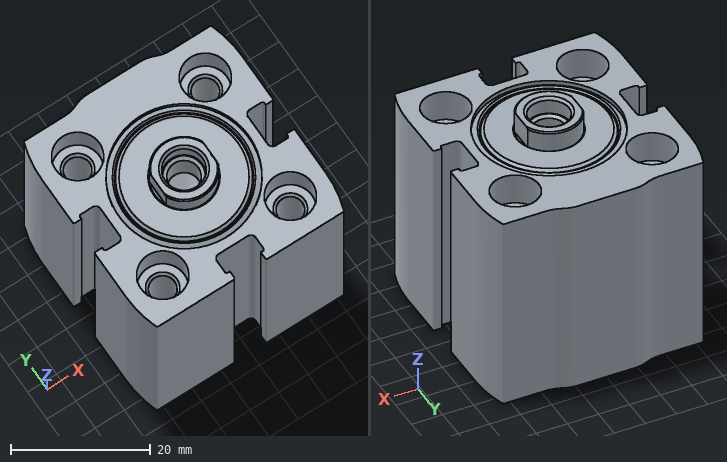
import cadquery as cq
import math

HALF_WIDTH = 17.25
BUMP_FACE_Y = 18.25
HOUSING_HEIGHT = 32.5
TOTAL_HEIGHT = 35.5

HOLE_OFFSET = 11.0
SIDE_FLAT_HALF_LENGTH = 10.83
SIDE_ARC_RADIUS = 18.8
CORNER_FILLET = 0.4
BUMP_TOP_HALF_WIDTH = 4.5
BUMP_FOOT_HALF_WIDTH = 9.15

SLOT_MOUTH_WIDTH = 5.32
SLOT_WIDTH = 6.65
SLOT_DEPTH = 4.5
SLOT_LIP = 1.4
SLOT_FLOOR_FILLET = 0.78
LIP_FILLET = 0.3

HOLE_DIAMETER = 4.12
COUNTERSINK_DIAMETER = 4.95
COUNTERBORE_DIAMETER = 7.5
COUNTERBORE_DEPTH = 5.0

RING_GROOVE_DIAMETER = 22.4
RING_GROOVE_DEPTH = 0.75
RIDGE_DIAMETER = 20.55
RIDGE_DEPTH = 0.18
INNER_GROOVE_DIAMETER = 20.0
INNER_GROOVE_DEPTH = 0.5
CAP_BASE_DIAMETER = 19.65
CAP_RIM_OUTER_DIAMETER = 18.67
CAP_RIM_INNER_DIAMETER = 18.18
CAP_RIM_DEPTH = 0.1
CAP_FACE_DEPTH = 0.18

ROD_DIAMETER = 10.0
ROD_LENGTH = 21.3
ROD_TOP_CHAMFER = 0.2
ROD_HOLE_CHAMFER = 0.18
FLAT_SPACING = 9.0
FLAT_LENGTH = 3.55
SOCKET_RIM_DIAMETER = 7.25
SOCKET_DIAMETER = 6.4
SOCKET_DEPTH = 2.77
SOCKET_FLOOR_DIAMETER = 6.1
BORE_DIAMETER = 4.95
BORE_DEPTH = 7.8
DRILL_HALF_ANGLE = math.radians(60)


def drill_cone_height(radius_change):
    """Height over which a drill-point cone changes radius."""
    return radius_change / math.tan(DRILL_HALF_ANGLE)


def revolved(profile):
    """Solid of revolution about Z from a closed list of (radius, height) points."""
    return cq.Workplane("XZ").polyline(profile).close().revolve(360, (0, 0, 0), (0, 1, 0))


def housing_block():
    """Extruded outline: bowed X sides and a raised middle on the +Y side."""
    rise = HALF_WIDTH - SIDE_FLAT_HALF_LENGTH
    side_angle = math.asin(rise / SIDE_ARC_RADIUS)

    def bow(angle):
        x = HALF_WIDTH - SIDE_ARC_RADIUS * (1 - math.cos(angle))
        y = SIDE_FLAT_HALF_LENGTH + SIDE_ARC_RADIUS * math.sin(angle)
        return x, y

    mid_x, mid_y = bow(side_angle / 2)
    end_x, end_y = bow(side_angle)
    bump_mid = ((BUMP_TOP_HALF_WIDTH + BUMP_FOOT_HALF_WIDTH) / 2, (HALF_WIDTH + BUMP_FACE_Y) / 2)
    block = (
        cq.Workplane("XY")
        .moveTo(-end_x, -end_y)
        .lineTo(end_x, -end_y)
        .threePointArc((mid_x, -mid_y), (HALF_WIDTH, -SIDE_FLAT_HALF_LENGTH))
        .lineTo(HALF_WIDTH, SIDE_FLAT_HALF_LENGTH)
        .threePointArc((mid_x, mid_y), (end_x, end_y))
        .lineTo(BUMP_FOOT_HALF_WIDTH, HALF_WIDTH)
        .tangentArcPoint(bump_mid, relative=False)
        .tangentArcPoint((BUMP_TOP_HALF_WIDTH, BUMP_FACE_Y), relative=False)
        .lineTo(-BUMP_TOP_HALF_WIDTH, BUMP_FACE_Y)
        .tangentArcPoint((-bump_mid[0], bump_mid[1]), relative=False)
        .tangentArcPoint((-BUMP_FOOT_HALF_WIDTH, HALF_WIDTH), relative=False)
        .lineTo(-end_x, end_y)
        .threePointArc((-mid_x, mid_y), (-HALF_WIDTH, SIDE_FLAT_HALF_LENGTH))
        .lineTo(-HALF_WIDTH, -SIDE_FLAT_HALF_LENGTH)
        .threePointArc((-mid_x, -mid_y), (-end_x, -end_y))
        .close()
        .extrude(HOUSING_HEIGHT)
    )
    for sign_x in (-1, 1):
        for sign_y in (-1, 1):
            corner = (sign_x * end_x, sign_y * end_y, HOUSING_HEIGHT / 2)
            block = block.edges(cq.selectors.NearestToPointSelector(corner)).fillet(CORNER_FILLET)
    return block


def slot_cutter():
    """T-slot open on the -Y side, with rounded floor corners and lip edges."""
    half_mouth = SLOT_MOUTH_WIDTH / 2
    lip_y = -HALF_WIDTH + SLOT_LIP
    floor_y = -HALF_WIDTH + SLOT_DEPTH
    chamber = (
        cq.Workplane("XY")
        .center(0, (lip_y + floor_y) / 2)
        .rect(SLOT_WIDTH, floor_y - lip_y)
        .extrude(HOUSING_HEIGHT)
        .edges("|Z and >Y")
        .fillet(SLOT_FLOOR_FILLET)
        .edges("|Z and <Y")
        .fillet(LIP_FILLET)
    )
    mouth = (
        cq.Workplane("XY")
        .moveTo(-half_mouth - LIP_FILLET, -HALF_WIDTH)
        .radiusArc((-half_mouth, -HALF_WIDTH + LIP_FILLET), -LIP_FILLET)
        .lineTo(-half_mouth, lip_y + LIP_FILLET)
        .lineTo(half_mouth, lip_y + LIP_FILLET)
        .lineTo(half_mouth, -HALF_WIDTH + LIP_FILLET)
        .radiusArc((half_mouth + LIP_FILLET, -HALF_WIDTH), -LIP_FILLET)
        .close()
        .extrude(HOUSING_HEIGHT)
    )
    return chamber.union(mouth)


def mounting_hole_cutter():
    """Through hole with a counterbore whose floor is countersunk."""
    hole = HOLE_DIAMETER / 2
    sink = COUNTERSINK_DIAMETER / 2
    bore = COUNTERBORE_DIAMETER / 2
    floor_z = HOUSING_HEIGHT - COUNTERBORE_DEPTH
    return revolved([
        (0, 0),
        (hole, 0),
        (hole, floor_z - (sink - hole)),
        (sink, floor_z),
        (bore, floor_z),
        (bore, HOUSING_HEIGHT),
        (0, HOUSING_HEIGHT),
    ])


def cap_ring_cutter():
    """Space above the cap: two ring grooves with a ridge between them, and a sunken face."""
    top = HOUSING_HEIGHT
    ridge = RIDGE_DIAMETER / 2
    inner_groove = INNER_GROOVE_DIAMETER / 2
    ring_groove = RING_GROOVE_DIAMETER / 2
    return revolved([
        (0, top),
        (0, top - CAP_FACE_DEPTH),
        (CAP_RIM_INNER_DIAMETER / 2, top - CAP_FACE_DEPTH),
        (CAP_RIM_OUTER_DIAMETER / 2, top - CAP_RIM_DEPTH),
        (CAP_BASE_DIAMETER / 2, top - INNER_GROOVE_DEPTH),
        (inner_groove, top - INNER_GROOVE_DEPTH),
        (inner_groove, top - RIDGE_DEPTH - (ridge - inner_groove)),
        (ridge, top - RIDGE_DEPTH),
        (ring_groove, top - RING_GROOVE_DEPTH),
        (ring_groove, top),
    ])


def rod_hole_cutter():
    """Blind hole that the rod fills, chamfered at the cap face."""
    radius = ROD_DIAMETER / 2
    bottom_z = TOTAL_HEIGHT - ROD_LENGTH
    face_z = HOUSING_HEIGHT - CAP_FACE_DEPTH
    return revolved([
        (0, bottom_z),
        (radius, bottom_z),
        (radius, face_z - ROD_HOLE_CHAMFER),
        (radius + ROD_HOLE_CHAMFER, face_z),
        (0, face_z),
    ])


def make_housing():
    housing = housing_block()
    for angle in (0, 90, -90):
        housing = housing.cut(slot_cutter().rotate((0, 0, 0), (0, 0, 1), angle))
    for x in (-HOLE_OFFSET, HOLE_OFFSET):
        for y in (-HOLE_OFFSET, HOLE_OFFSET):
            housing = housing.cut(mounting_hole_cutter().translate((x, y, 0)))
    return housing.cut(cap_ring_cutter()).cut(rod_hole_cutter())


def rod_socket_cutter():
    """Stepped, countersunk bore with a drill-point bottom in the rod end."""
    rim = SOCKET_RIM_DIAMETER / 2
    socket = SOCKET_DIAMETER / 2
    floor = SOCKET_FLOOR_DIAMETER / 2
    bore = BORE_DIAMETER / 2
    socket_z = TOTAL_HEIGHT - SOCKET_DEPTH
    bore_z = TOTAL_HEIGHT - BORE_DEPTH
    return revolved([
        (0, bore_z - drill_cone_height(bore)),
        (bore, bore_z),
        (bore, socket_z - drill_cone_height(floor - bore)),
        (floor, socket_z),
        (socket, socket_z),
        (socket, TOTAL_HEIGHT - (rim - socket)),
        (rim, TOTAL_HEIGHT),
        (0, TOTAL_HEIGHT),
    ])


def flat_cutter():
    """Wrench flat on the +X side, running out at 45 degrees at its lower end."""
    flat_x = FLAT_SPACING / 2
    outer_x = ROD_DIAMETER / 2
    flat_z = TOTAL_HEIGHT - FLAT_LENGTH
    return (
        cq.Workplane("XZ")
        .polyline([
            (flat_x, TOTAL_HEIGHT),
            (flat_x, flat_z),
            (outer_x, flat_z - (outer_x - flat_x)),
            (outer_x, TOTAL_HEIGHT),
        ])
        .close()
        .extrude(ROD_DIAMETER / 2, both=True)
    )


def make_rod():
    rod = (
        cq.Workplane("XY")
        .workplane(offset=TOTAL_HEIGHT - ROD_LENGTH)
        .circle(ROD_DIAMETER / 2)
        .extrude(ROD_LENGTH)
        .faces(">Z")
        .chamfer(ROD_TOP_CHAMFER)
    )
    for angle in (0, 180):
        rod = rod.cut(flat_cutter().rotate((0, 0, 0), (0, 0, 1), angle))
    return rod.cut(rod_socket_cutter())


housing = make_housing()
rod = make_rod()
result = cq.Compound.makeCompound([housing.val(), rod.val()])